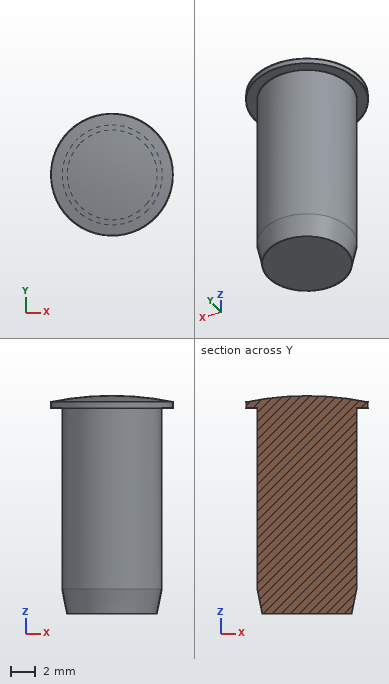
import cadquery as cq
import math

head_radius = 4.9
body_radius = 4.0
tip_radius = 3.6

total_height = 17.5
tip_height = 2.0
rim_thickness = 0.49
dome_height = 0.5

rim_top = total_height - dome_height
rim_bottom = rim_top - rim_thickness

dome_sphere_radius = (head_radius**2 + dome_height**2) / (2 * dome_height)
dome_center_z = total_height - dome_sphere_radius
dome_mid_x = head_radius / 2
dome_mid_z = dome_center_z + math.sqrt(dome_sphere_radius**2 - dome_mid_x**2)

profile = (
    cq.Workplane("XZ")
    .lineTo(tip_radius, 0)
    .lineTo(body_radius, tip_height)
    .lineTo(body_radius, rim_bottom)
    .lineTo(head_radius, rim_bottom)
    .lineTo(head_radius, rim_top)
    .threePointArc((dome_mid_x, dome_mid_z), (0, total_height))
    .close()
)

result = profile.revolve(360, (0, 0, 0), (0, 1, 0))